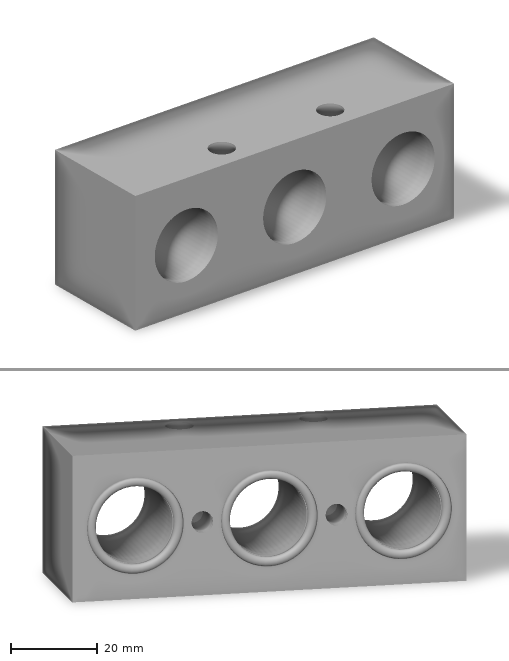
import cadquery as cq
import math

block_length = 94.0
block_height = 35.0
overall_width = 30.7
seal_protrusion = 0.5
block_width = overall_width - seal_protrusion

port_pitch = 32.0
port_diameter = 18.6
seat_diameter = 23.0
seal_section_diameter = (seat_diameter - port_diameter) / 2
seal_section_radius = seal_section_diameter / 2
seal_center_radius = (port_diameter + seal_section_diameter) / 2
seat_depth = seal_section_diameter - seal_protrusion

mounting_diameter = 6.6
mounting_edge_distance = 7.05
mounting_x = block_width - mounting_edge_distance

sleeve_outer_diameter = 5.2
sleeve_bore_diameter = 5.0
sleeve_recess = 0.6
sleeve_end_depth = 8.0
pilot_depth = 10.0
drill_point_angle = 118.0
drill_point_length = sleeve_bore_diameter / 2 / math.tan(math.radians(drill_point_angle / 2))

port_positions = [-port_pitch, 0, port_pitch]
between_positions = [-port_pitch / 2, port_pitch / 2]


def x_cylinder(diameter, length, y):
    """Cylinder running from the port face in +X at height zero."""
    return cq.Workplane("YZ").center(y, 0).circle(diameter / 2).extrude(length)


def make_pilot_hole(y):
    """Drilled hole volume with its conical end."""
    radius = sleeve_bore_diameter / 2
    profile = [(0, 0), (0, radius), (pilot_depth, radius), (pilot_depth + drill_point_length, 0)]
    hole = cq.Workplane("XY").polyline(profile).close().revolve(360, (0, 0, 0), (1, 0, 0))
    return hole.translate((0, y, 0))


def make_block():
    block = cq.Workplane("XY").box(block_width, block_length, block_height, centered=(False, True, True))
    for y in port_positions:
        block = block.cut(x_cylinder(port_diameter, block_width, y))
        block = block.cut(x_cylinder(seat_diameter, seat_depth, y))
    for y in between_positions:
        mounting_hole = (
            cq.Workplane("XY", origin=(mounting_x, y, -block_height / 2))
            .circle(mounting_diameter / 2)
            .extrude(block_height)
        )
        block = block.cut(mounting_hole)
        block = block.cut(x_cylinder(sleeve_outer_diameter, sleeve_end_depth, y))
        block = block.cut(make_pilot_hole(y))
    return block


def make_seal(y):
    """O-ring resting on the seat floor and standing proud of the port face."""
    seal = (
        cq.Workplane("XY")
        .center(seat_depth - seal_section_radius, seal_center_radius)
        .circle(seal_section_radius)
        .revolve(360, (0, -seal_center_radius, 0), (1, -seal_center_radius, 0))
    )
    return seal.translate((0, y, 0))


def make_sleeve(y):
    """Thin sleeve set slightly below the port face."""
    sleeve = (
        cq.Workplane("YZ", origin=(sleeve_recess, y, 0))
        .circle(sleeve_outer_diameter / 2)
        .circle(sleeve_bore_diameter / 2)
        .extrude(sleeve_end_depth - sleeve_recess)
    )
    return sleeve


block = make_block()
seals = [make_seal(y).val() for y in port_positions]
sleeves = [make_sleeve(y).val() for y in between_positions]

result = cq.Compound.makeCompound([block.val(), *seals, *sleeves])